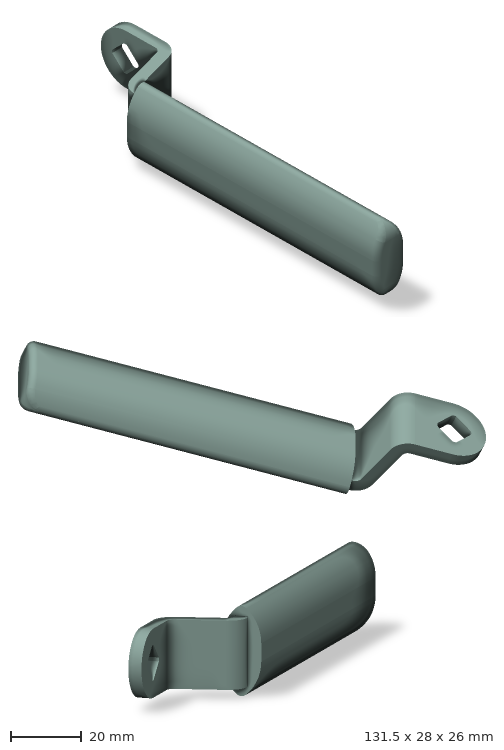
import cadquery as cq
import math

total_length = 131.5
total_depth = 28.0

lever_width = 20.0
lever_thickness = 4.0
lever_shift = -0.1
eye_radius = lever_width / 2
eye_bend_radius = 2.0
tang_bend_radius = 1.8
crank_angle = 14.0
crank_start = 23.0
tang_length = 78.9

drive_hole_x = 9.6
drive_hole_square = 8.0
drive_hole_corner_diameter = 10.3

grip_start = 33.4
grip_depth = 12.0
grip_height = 26.0
grip_flat_height = 5.3
grip_nose_radius = 2.2
grip_corner_radius = 5.0
grip_end_fillet = 2.0
slot_clearance = 0.1

grip_length = total_length - grip_start
split_y = grip_depth / 2
tang_front_y = split_y - lever_thickness / 2
tang_back_y = tang_front_y + lever_thickness
tang_end = grip_start + tang_length
eye_front_y = total_depth - lever_thickness


def make_lever():
    """Flat bar with two opposite bends, a round eye and a square drive hole."""
    slope = math.tan(math.radians(crank_angle))
    mitre_step = lever_thickness * math.tan(math.radians((90 - crank_angle) / 2))
    crank_run = (eye_front_y - tang_front_y) * slope
    front_corner = crank_start + crank_run
    back_run = (total_depth - tang_back_y) * slope
    first_outer = crank_start + mitre_step
    second_inner = first_outer + back_run

    bar = (
        cq.Workplane("XY")
        .workplane(offset=lever_shift - lever_width / 2)
        .moveTo(0, total_depth)
        .lineTo(first_outer, total_depth)
        .lineTo(second_inner, tang_back_y)
        .lineTo(tang_end, tang_back_y)
        .lineTo(tang_end, tang_front_y)
        .lineTo(front_corner, tang_front_y)
        .lineTo(crank_start, eye_front_y)
        .lineTo(0, eye_front_y)
        .close()
        .extrude(lever_width)
    )

    bends = (
        (first_outer, total_depth, eye_bend_radius + lever_thickness),
        (crank_start, eye_front_y, eye_bend_radius),
        (second_inner, tang_back_y, tang_bend_radius),
        (front_corner, tang_front_y, tang_bend_radius + lever_thickness),
    )
    for x, y, radius in bends:
        corner = cq.selectors.NearestToPointSelector((x, y, lever_shift))
        bar = bar.edges("|Z").edges(corner).fillet(radius)

    bar = bar.intersect(make_eye_outline())
    return bar.cut(make_drive_hole())


def make_eye_outline():
    """Full-depth block with the rounded outline of the eye at its left end."""
    return (
        cq.Workplane("XZ", origin=(0, total_depth, lever_shift))
        .moveTo(eye_radius, -eye_radius)
        .lineTo(tang_end, -eye_radius)
        .lineTo(tang_end, eye_radius)
        .lineTo(eye_radius, eye_radius)
        .threePointArc((0, 0), (eye_radius, -eye_radius))
        .close()
        .extrude(total_depth)
    )


def make_drive_hole():
    """Square cutter turned 45 degrees, its corners trimmed by a circle."""
    plane = cq.Workplane("XZ", origin=(drive_hole_x, total_depth, 0))
    square = (
        plane.transformed(rotate=(0, 0, 45))
        .rect(drive_hole_square, drive_hole_square)
        .extrude(lever_thickness)
    )
    corner_trim = plane.circle(drive_hole_corner_diameter / 2).extrude(lever_thickness)
    return square.intersect(corner_trim)


def make_grip_half(side):
    """Half of the grip; side is -1 for the front half and +1 for the back half."""
    half_flat = grip_flat_height / 2
    half_height = grip_height / 2
    half_depth = grip_depth / 2
    nose_z = half_height - grip_nose_radius

    nose_rise = nose_z - half_flat
    flank_radius = (nose_rise**2 + half_depth**2 - grip_nose_radius**2) / (
        2 * (half_depth - grip_nose_radius)
    )
    flank_sweep = math.asin(nose_rise / (flank_radius - grip_nose_radius))

    def flank_point(angle):
        offset = half_depth - flank_radius * (1 - math.cos(angle))
        return split_y + side * offset, half_flat + flank_radius * math.sin(angle)

    def nose_point(angle):
        offset = grip_nose_radius * math.cos(angle)
        return split_y + side * offset, nose_z + grip_nose_radius * math.sin(angle)

    def mirrored(point):
        return point[0], -point[1]

    flank_middle = flank_point(flank_sweep / 2)
    flank_end = flank_point(flank_sweep)
    nose_middle = nose_point((flank_sweep + math.pi / 2) / 2)
    nose_tip = (split_y, half_height)

    half = (
        cq.Workplane("YZ", origin=(grip_start, 0, 0))
        .moveTo(*mirrored(nose_tip))
        .threePointArc(mirrored(nose_middle), mirrored(flank_end))
        .threePointArc(mirrored(flank_middle), mirrored(flank_point(0)))
        .lineTo(*flank_point(0))
        .threePointArc(flank_middle, flank_end)
        .threePointArc(nose_middle, nose_tip)
        .close()
        .extrude(grip_length)
    )
    rounded_outline = (
        cq.Workplane("XZ", origin=(grip_start, grip_depth, 0))
        .rect(2 * grip_length, grip_height)
        .extrude(grip_depth)
        .edges("|Y and >X")
        .fillet(grip_corner_radius)
    )
    half = half.intersect(rounded_outline)

    end_edge = half.faces(">X").edges("<Y" if side < 0 else ">Y")
    half = end_edge.fillet(grip_end_fillet)
    return half.cut(make_tang_slot())


def make_tang_slot():
    """Blind slot for the tang, slightly taller than the lever."""
    slot_height = lever_width + 2 * slot_clearance
    return cq.Workplane("XY", origin=(grip_start, tang_front_y, 0)).box(
        tang_length, lever_thickness, slot_height, centered=(False, False, True)
    )


lever = make_lever()
grip_halves = [make_grip_half(side) for side in (-1, 1)]

result = cq.Compound.makeCompound([lever.val(), *(half.val() for half in grip_halves)])